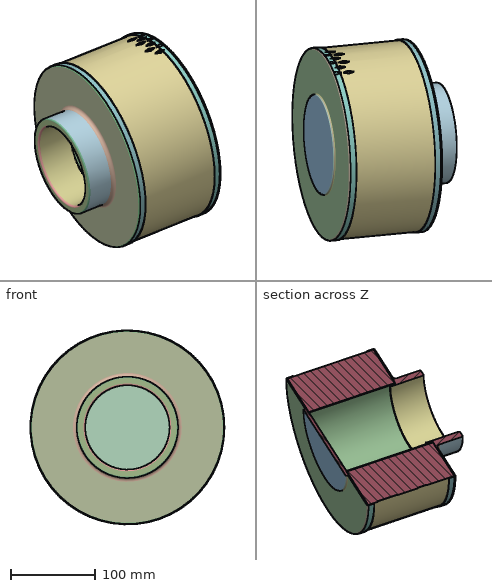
import cadquery as cq


cap_radius = 115.0
total_length = 153.5
neck_length = 35.0
canister_length = 116.0
lip_height = total_length - neck_length - canister_length

rim_length = 9.2
plate_thickness = 2.0
cap_edge_fillet = 2.0

neck_radius = 60.0
bore_radius = 50.0
neck_root_fillet = 4.4
neck_outer_edge_fillet = 1.5
neck_inner_edge_fillet = 2.0

lip_radius = neck_radius
lip_fillet = 1.0

rim_thickness = 1.0
sheet_thickness = 1.0
shell_radius = cap_radius - rim_thickness
media_outer_radius = shell_radius - sheet_thickness
liner_inner_radius = 52.0
media_inner_radius = liner_inner_radius + sheet_thickness
element_start = plate_thickness
element_end = canister_length - plate_thickness

diamond_width = 4.5
diamond_length = 12.5
diamond_angle_step = 5.0
diamond_row_pitch = 7.5
first_row_inset = 4.8
odd_row_steps = (1, 3, 5)
even_row_steps = (0, 2, 4)
diamond_rows = (odd_row_steps, even_row_steps, odd_row_steps)

match_tolerance = 2.3e-06


def disc(radius, start, end):
    """Solid cylinder on the Y axis, from Y = start to Y = end."""
    plane = cq.Workplane("XZ", origin=(0, start, 0))
    return plane.circle(radius).extrude(start - end)


def tube(outer_radius, inner_radius, start, end):
    """Hollow cylinder on the Y axis, from Y = start to Y = end."""
    return disc(outer_radius, start, end).cut(disc(inner_radius, start, end))


def fillet_circle(body, radius, y, size):
    """Round the circular edge of the given radius that lies in the plane at Y = y."""
    def is_wanted(edge):
        right_size = edge.geomType() == "CIRCLE" and abs(edge.radius() - radius) < match_tolerance
        return right_size and abs(edge.Center().y - y) < match_tolerance

    edges = [edge for edge in body.edges().vals() if is_wanted(edge)]
    return body.newObject(edges).fillet(size)


def make_front_cap():
    """Cap with a rim, an inlet neck and a collar; the element sits between rim and collar."""
    cap = disc(cap_radius, 0, rim_length)
    cap = cap.union(disc(neck_radius, -neck_length, rim_length))
    cap = cap.cut(disc(bore_radius, -neck_length, rim_length))
    cap = cap.cut(tube(shell_radius, liner_inner_radius, element_start, rim_length))
    cap = fillet_circle(cap, cap_radius, 0, cap_edge_fillet)
    cap = fillet_circle(cap, neck_radius, 0, neck_root_fillet)
    cap = fillet_circle(cap, neck_radius, -neck_length, neck_outer_edge_fillet)
    return fillet_circle(cap, bore_radius, -neck_length, neck_inner_edge_fillet)


def make_rear_cap():
    """Closed cap with a rim around the shell and a low round lip on its outer face."""
    lip_end = canister_length + lip_height
    cap = disc(cap_radius, canister_length - rim_length, canister_length)
    cap = cap.cut(disc(shell_radius, canister_length - rim_length, element_end))
    cap = cap.union(disc(lip_radius, element_end, lip_end))
    cap = fillet_circle(cap, cap_radius, canister_length, cap_edge_fillet)
    cap = fillet_circle(cap, lip_radius, canister_length, lip_fillet)
    return fillet_circle(cap, lip_radius, lip_end, lip_fillet)


def make_diamond_cutter(row, step):
    """Diamond prism through the shell, turned from the top of the shell toward -X."""
    centre_y = canister_length - first_row_inset - row * diamond_row_pitch
    half_width = diamond_width / 2
    half_length = diamond_length / 2
    plane = cq.Workplane("XY", origin=(0, centre_y, media_outer_radius - sheet_thickness))
    corners = [(half_width, 0), (0, half_length), (-half_width, 0), (0, -half_length)]
    prism = plane.polyline(corners).close().extrude(3 * sheet_thickness)
    return prism.rotate((0, 0, 0), (0, 1, 0), -step * diamond_angle_step)


def make_shell():
    """Thin outer shell with a patch of staggered diamond perforations."""
    shell = tube(shell_radius, media_outer_radius, element_start, element_end)
    for row, steps in enumerate(diamond_rows):
        for step in steps:
            shell = shell.cut(make_diamond_cutter(row, step))
    return shell


def make_media():
    """Filter media filling the space between the shell and the inner liner."""
    return tube(media_outer_radius, media_inner_radius, element_start, element_end)


def make_liner():
    """Thin inner liner around the clean-air space."""
    return tube(media_inner_radius, liner_inner_radius, element_start, element_end)


front_cap = make_front_cap()
rear_cap = make_rear_cap()
shell = make_shell()
media = make_media()
liner = make_liner()

bodies = [front_cap, rear_cap, shell, media, liner]
result = cq.Compound.makeCompound([body.solids().val() for body in bodies])